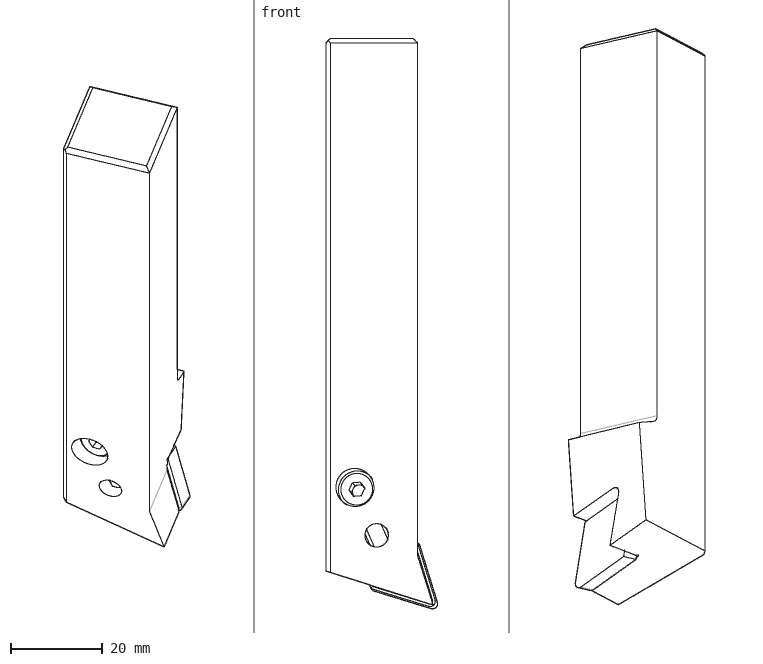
import cadquery as cq
import math

total_height = 124.4
shank_size = 20.0
edge_chamfer = 1.0
head_depth = 27.0
head_peak_height = 30.1
shoulder_height = 32.6
shoulder_fillet = 1.7
back_lean = 6.8
back_skew = 6.4

flank_angle = 17.5
toe_x = 23.4
toe_z = 0.9

seat_tilt = 10.0
insert_tip = (24.4, 10.6, 0.0)
insert_thickness = 4.7
insert_circle = 12.7
nose_radius = 1.1
insert_chamfer = 0.5

screw_diameter = 8.2
screw_x = 6.3
screw_z = 26.5
screw_recess = 3.2
screw_length = 10.0
screw_chamfer = 0.6
socket_flats = 3.0
socket_depth = 4.5
socket_turn = 40.0
socket_point_angle = 118.0

access_diameter = 5.1
access_x = 11.1
access_z = 16.0

lever_width = 4.9
lever_thickness = 2.5
lever_length = 11.2
lever_recess = 3.1
lever_chamfer = 0.7

tilt = math.radians(seat_tilt)
sideways = math.sqrt(0.5)
seat_normal = cq.Vector(sideways * math.sin(tilt), math.cos(tilt), -sideways * math.sin(tilt))
seat_inward = cq.Vector(-sideways * math.cos(tilt), math.sin(tilt), sideways * math.cos(tilt))
front_of_seat = cq.selectors.DirectionMinMaxSelector(seat_normal, False)
past_front = 3.7
past_back = 2 * head_depth


def seat_workplane(x, y, z, depth=0.0, x_dir=seat_inward):
    """Workplane parallel to the seat, at the given depth behind the point."""
    plane = cq.Plane(origin=(x, y, z), xDir=x_dir, normal=seat_normal)
    return cq.Workplane(plane).workplane(offset=depth)


def insert_prism(height):
    """Rhombus with both sharp corners rounded, standing on the seat."""
    half_corner = math.radians(90 - 2 * flank_angle) / 2
    side = insert_circle / math.sin(2 * half_corner)
    half_length = side * math.cos(half_corner)
    half_width = side * math.sin(half_corner)
    prism = (
        seat_workplane(*insert_tip)
        .polyline([(0, 0), (half_length, half_width), (2 * half_length, 0), (half_length, -half_width)])
        .close()
        .extrude(height)
    )
    upright = cq.selectors.ParallelDirSelector(seat_normal)
    for far_tip in (False, True):
        tip_edge = cq.selectors.DirectionMinMaxSelector(seat_inward, far_tip)
        prism = prism.edges(upright).edges(tip_edge).fillet(nose_radius)
    return prism


def make_insert():
    return insert_prism(insert_thickness).faces(front_of_seat).chamfer(insert_chamfer)


def make_screw():
    stud = (
        seat_workplane(screw_x, 0, screw_z, screw_recess)
        .circle(screw_diameter / 2)
        .extrude(screw_length)
        .faces(front_of_seat)
        .chamfer(screw_chamfer)
    )
    socket = (
        seat_workplane(screw_x, 0, screw_z, screw_recess)
        .transformed(rotate=(0, 0, socket_turn))
        .polygon(6, socket_flats, circumscribed=True)
        .extrude(socket_depth)
    )
    point_radius = socket_flats / 2
    point_depth = point_radius / math.tan(math.radians(socket_point_angle / 2))
    point = cq.Solid.makeCone(
        point_radius,
        0,
        point_depth,
        seat_workplane(screw_x, 0, screw_z, screw_recess + socket_depth).plane.origin,
        seat_normal,
    )
    return stud.cut(socket).cut(cq.Workplane(point))


def make_lever():
    """Bar behind the access hole, pointing at the screw."""
    to_screw = cq.Vector(screw_x - access_x, 0, screw_z - access_z)
    bar_direction = to_screw - seat_normal * to_screw.dot(seat_normal)
    bar = (
        seat_workplane(access_x, 0, access_z, lever_recess, bar_direction)
        .rect(lever_length, lever_width)
        .extrude(lever_thickness)
    )
    long_edges = cq.selectors.ParallelDirSelector(bar_direction)
    return bar.faces(front_of_seat).edges(long_edges).chamfer(lever_chamfer)


def make_shank_and_head():
    """Side profile crossed with front profile, with the leaning back and the chamfers cut."""
    flank_slope = math.tan(math.radians(flank_angle))
    side_profile = (
        cq.Workplane("YZ")
        .polyline([
            (0, 0),
            (0, total_height),
            (shank_size, total_height),
            (shank_size, shoulder_height),
            (head_depth, head_peak_height),
            (head_depth, 0),
        ])
        .close()
        .extrude(toe_x)
    )
    shoulder_corner = cq.selectors.NearestToPointSelector((toe_x / 2, shank_size, shoulder_height))
    side_profile = side_profile.edges("|X").edges(shoulder_corner).fillet(shoulder_fillet)
    front_profile = (
        cq.Workplane("XZ")
        .polyline([
            (0, toe_z + toe_x * flank_slope),
            (0, total_height),
            (shank_size, total_height),
            (shank_size, toe_z + (toe_x - shank_size) / flank_slope),
            (toe_x, toe_z),
        ])
        .close()
        .extrude(-head_depth)
    )
    skew_slope = math.tan(math.radians(back_skew))
    lean_slope = math.tan(math.radians(back_lean))
    back_plane = cq.Plane(
        origin=(0, head_depth, head_peak_height),
        xDir=(1, -skew_slope, 0),
        normal=(skew_slope, 1, -lean_slope),
    )
    behind_head = cq.Workplane(back_plane).rect(total_height, total_height).extrude(head_depth)
    body = side_profile.intersect(front_profile).cut(behind_head)
    front_left_edge = cq.selectors.NearestToPointSelector((0, 0, total_height / 2))
    return body.faces(">Z").chamfer(edge_chamfer).edges("|Z").edges(front_left_edge).chamfer(edge_chamfer)


def make_holder(lever):
    insert_pocket = insert_prism(past_back)
    screw_bore = (
        seat_workplane(screw_x, 0, screw_z, -past_front)
        .circle(screw_diameter / 2)
        .extrude(past_front + screw_recess + screw_length)
    )
    access_hole = (
        cq.Workplane("XZ", origin=(access_x, 0, access_z))
        .circle(access_diameter / 2)
        .extrude(-(lever_recess + lever_thickness / 2))
    )
    return make_shank_and_head().cut(insert_pocket).cut(screw_bore).cut(access_hole).cut(lever)


insert = make_insert()
screw = make_screw()
lever = make_lever()
holder = make_holder(lever)

result = cq.Compound.makeCompound([holder.val(), insert.val(), screw.val(), lever.val()])